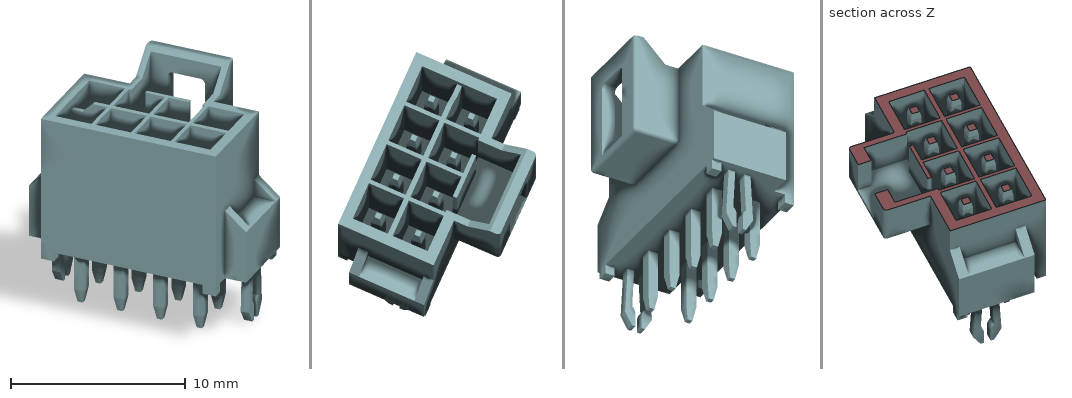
import cadquery as cq

body_x, body_y = 11.0, 5.98
body_bottom, body_top = 3.77, 12.3
foot_bottom = 3.21
back_y = body_y / 2

columns, rows = 4, 2
pitch = 2.5
cell_x, cell_y = 2.26, 2.2
cell_floor = 5.48
middle_wall = pitch - cell_y
cell_back_y = pitch / 2 + cell_y / 2
cell_centers = [
    ((column - (columns - 1) / 2) * pitch, (row - (rows - 1) / 2) * pitch)
    for column in range(columns)
    for row in range(rows)
]

notch_left = -columns * pitch / 2 + (pitch - cell_x) / 2
notch_floor_end = -4.17
notch_slope_end = -3.52
notch_depth = notch_slope_end - notch_floor_end

pin_width, pin_tip_width = 0.65, 0.33
pin_taper = 0.86
pin_top = 10.28

shroud_x, shroud_inner_x = 5.26, 4.45
shroud_back, shroud_inner_back = 5.85, 5.02
shroud_bottom, shroud_top = 7.23, 13.71
shroud_flat_y = 5.25
shroud_round = 0.22
pocket_floor = shroud_bottom + (shroud_x - shroud_inner_x) / 2
window_x, window_top, window_round = 2.36, 12.4, 0.3
rib_x, rib_thickness = 2.71, 0.26

flange_x = 6.83
flange_front = -1.71
flange_shoulder, flange_top = 7.03, 8.17
flange_wall = 0.62
flange_foot_outer, flange_foot_inner = 6.61, 5.94

foot_x, foot_y = 0.84, 0.58

clip_x, clip_thickness = 5.94, 0.53
clip_y = 0.96
clip_embed = 0.27

clip_root = 3.52
clip_root_inner, clip_root_outer = 0.3, 0.73
clip_waist_inner = 0.41
clip_barb_outer = 0.88
clip_tip_inner, clip_tip_outer = 0.2, 0.43
clip_barb_bottom, clip_barb_top = 0.77, 0.86
clip_bulge_bottom, clip_bulge_top = 0.89, 1.3
clip_waist_top = 1.41


def box(x0, x1, y0, y1, z0, z1):
    """Axis-aligned block between two opposite corners."""
    return cq.Workplane("XY").box(x1 - x0, y1 - y0, z1 - z0, centered=False).translate((x0, y0, z0))


def make_shroud():
    """Latch shroud, higher at the back and sloping down to the housing top."""
    slope_end_y = shroud_flat_y - (shroud_top - body_top)
    profile = [
        (cell_back_y, shroud_bottom),
        (shroud_back, shroud_bottom),
        (shroud_back, shroud_top),
        (shroud_flat_y, shroud_top),
        (slope_end_y, body_top),
        (cell_back_y, body_top),
    ]
    shroud = cq.Workplane("YZ").polyline(profile).close().extrude(shroud_x / 2, both=True)
    return shroud.edges("(|Z and >Y) or (<Z and (>X or <X or >Y))").fillet(shroud_round)


def make_shroud_pocket():
    """Space inside the shroud, open at the top and into the two middle cells."""
    pocket = box(
        -shroud_inner_x / 2, shroud_inner_x / 2,
        cell_back_y, shroud_inner_back,
        pocket_floor, shroud_top,
    )
    rib = box(
        -rib_x / 2, rib_x / 2,
        cell_back_y, cell_back_y + rib_thickness,
        pocket_floor, body_top,
    )
    return pocket.cut(rib)


def make_window():
    """Latch window through the back wall of the shroud."""
    window = box(
        -window_x / 2, window_x / 2,
        shroud_inner_back, shroud_back,
        pocket_floor, window_top,
    )
    return window.edges("|Y and >Z").fillet(window_round)


def make_notch():
    """Cut with one sloped end at the left end of the middle wall."""
    profile = [
        (notch_left, body_top),
        (notch_left, body_top - notch_depth),
        (notch_floor_end, body_top - notch_depth),
        (notch_slope_end, body_top),
    ]
    return cq.Workplane("XZ").polyline(profile).close().extrude(middle_wall / 2, both=True)


def make_pin(x, y):
    """Square contact pin tapered at both ends."""
    shaft = cq.Workplane("XY").rect(pin_width, pin_width).extrude(pin_top - 2 * pin_taper)
    shaft = shaft.translate((0, 0, pin_taper))
    tip = (
        cq.Workplane("XY")
        .rect(pin_tip_width, pin_tip_width)
        .workplane(offset=pin_taper)
        .rect(pin_width, pin_width)
        .loft(ruled=True)
    )
    upper_tip = tip.mirror("XY").translate((0, 0, pin_top))
    return shaft.union(tip).union(upper_tip).translate((x, y, 0))


def make_prong():
    """One springy half of a board-lock clip, on the +Y side of its slot."""
    prong_top = body_bottom + clip_embed
    profile = (
        cq.Workplane("YZ")
        .moveTo(clip_root_inner, prong_top)
        .lineTo(clip_root_outer, prong_top)
        .lineTo(clip_root_outer, clip_root)
        .lineTo(clip_barb_outer, clip_barb_top)
        .lineTo(clip_barb_outer, clip_barb_bottom)
        .lineTo(clip_tip_outer, 0)
        .lineTo(clip_tip_inner, 0)
        .lineTo(clip_tip_inner, clip_bulge_bottom)
        .tangentArcPoint((clip_waist_inner, clip_bulge_top), relative=False)
        .lineTo(clip_waist_inner, clip_waist_top)
        .lineTo(clip_root_inner, clip_root)
        .close()
    )
    return profile.extrude(clip_thickness / 2, both=True)


def make_flange():
    """Flange on the -X side with its locating foot and board-lock clip."""
    profile = [
        (-body_x / 2, body_bottom),
        (-flange_x, body_bottom),
        (-flange_x, flange_shoulder),
        (-body_x / 2, flange_top),
    ]
    flange_length = back_y - flange_front
    flange = cq.Workplane("XZ", origin=(0, back_y, 0)).polyline(profile).close().extrude(flange_length)
    flange = flange.cut(box(
        -flange_x, -body_x / 2,
        flange_front + flange_wall, back_y - flange_wall,
        flange_shoulder, flange_top,
    ))
    flange = flange.union(box(
        -flange_foot_outer, -flange_foot_inner,
        back_y - flange_wall, back_y,
        foot_bottom, body_bottom,
    ))
    prong = make_prong()
    for half in (prong, prong.mirror("XZ")):
        flange = flange.union(half.translate((-clip_x, clip_y, 0)))
    return flange


body = box(-body_x / 2, body_x / 2, -back_y, back_y, body_bottom, body_top)
body = body.union(make_shroud())

for x, y in cell_centers:
    body = body.cut(box(
        x - cell_x / 2, x + cell_x / 2,
        y - cell_y / 2, y + cell_y / 2,
        cell_floor, body_top,
    ))

body = body.cut(make_shroud_pocket()).cut(make_window()).cut(make_notch())

for x, y in cell_centers:
    body = body.union(make_pin(x, y))

left_foot = box(
    -body_x / 2, -body_x / 2 + foot_x,
    -back_y, -back_y + foot_y,
    foot_bottom, body_bottom,
)
left_side = make_flange().union(left_foot)
connector = body.union(left_side).union(left_side.mirror("YZ"))
result = connector.solids()